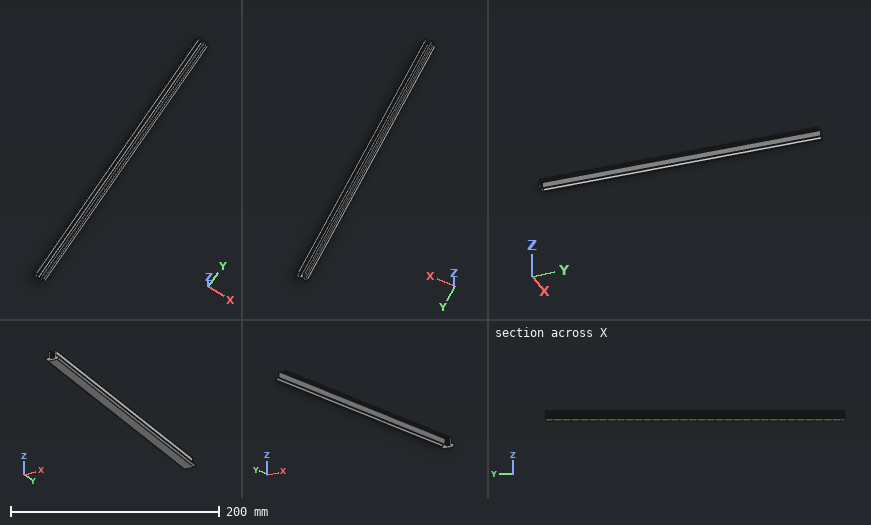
import cadquery as cq

length = 288.0
base_width = 14.5
base_flat_width = 11.0
base_height = 4.3
edge_land_height = 0.5
total_height = 10.0
rail_outer_width = 7.8
channel_width = 3.5
channel_floor = 2.5
tooth_depth = 0.35
tooth_count = 12

land_bottom = (base_height - edge_land_height) / 2
land_top = land_bottom + edge_land_height
edge_x = base_width / 2
flat_x = base_flat_width / 2
rail_x = rail_outer_width / 2
crest_x = channel_width / 2
root_x = crest_x + tooth_depth
tooth_pitch = (total_height - channel_floor) / tooth_count


def serrated_wall(first_x, second_x):
    """Points down a channel wall, alternating between two X positions every half pitch."""
    points = []
    for i in range(2 * tooth_count + 1):
        x = first_x if i % 2 == 0 else second_x
        points.append((x, total_height - i * tooth_pitch / 2))
    return points


right_side = [
    (flat_x, 0),
    (edge_x, land_bottom),
    (edge_x, land_top),
    (flat_x, base_height),
    (rail_x, base_height),
    (rail_x, total_height),
]
left_side = [(-x, z) for x, z in reversed(right_side)]

right_wall = serrated_wall(root_x, crest_x)
left_wall = serrated_wall(-crest_x, -root_x)
section = right_side + right_wall + left_wall[::-1] + left_side

result = (
    cq.Workplane("XZ")
    .polyline(section)
    .close()
    .extrude(length / 2, both=True)
)